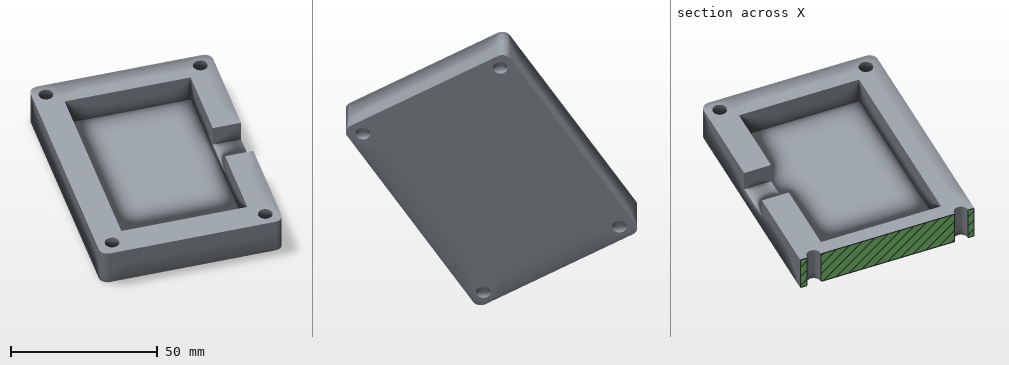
import cadquery as cq

length = 89.5
width = 64.7
height = 13.0
corner_radius = 3.0

rim = 10.0
pocket_depth = 10.0

notch_width = 15.0
notch_depth = 7.5

hole_diameter = 5.0
hole_centers = [
    (-39.8, 27.2),
    (39.9, 27.2),
    (-39.9, -27.5),
    (39.6, -27.0),
]


def make_block():
    """Plate with its bottom at Z = 0 and rounded vertical corners."""
    block = cq.Workplane("XY").box(length, width, height, centered=(True, True, False))
    return block.edges("|Z").fillet(corner_radius)


def cut_pocket(body):
    return (
        body.faces(">Z").workplane(origin=(0, 0, height))
        .rect(length - 2 * rim, width - 2 * rim)
        .cutBlind(-pocket_depth)
    )


def cut_notch(body):
    notch = (
        cq.Workplane("XY")
        .box(notch_width, rim, notch_depth, centered=(True, False, False))
        .translate((0, width / 2 - rim, height - notch_depth))
    )
    return body.cut(notch)


def cut_holes(body):
    holes = (
        cq.Workplane("XY")
        .pushPoints(hole_centers)
        .circle(hole_diameter / 2)
        .extrude(height)
    )
    return body.cut(holes)


result = cut_holes(cut_notch(cut_pocket(make_block())))